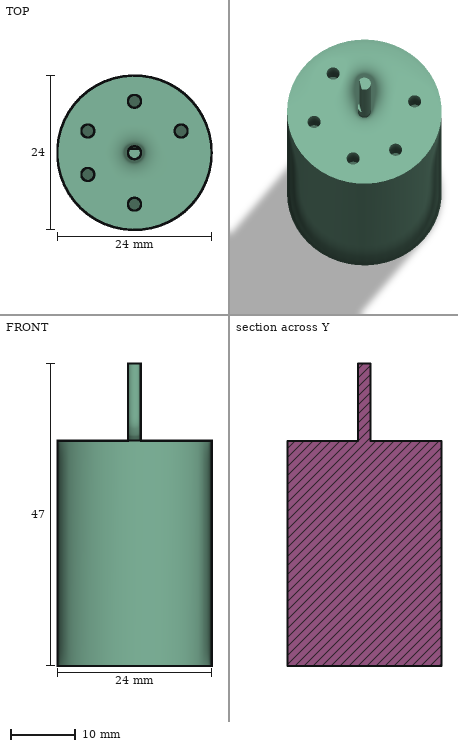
import cadquery as cq
import math

body_diameter = 24.0
total_height = 47.0
shaft_length = 12.0
body_height = total_height - shaft_length

shaft_diameter = 2.0
flat_depth = 0.4
round_length = 2.0

hole_diameter = 2.0
hole_depth = 4.0
pitch_radius = 8.0
side_hole_angle = 25.0
hole_angles = [
    90.0,
    side_hole_angle,
    180.0 - side_hole_angle,
    180.0 + side_hole_angle,
    270.0,
]


def make_body():
    """Cylinder with blind mounting holes in its top face."""
    hole_centres = [
        (
            pitch_radius * math.cos(math.radians(angle)),
            pitch_radius * math.sin(math.radians(angle)),
        )
        for angle in hole_angles
    ]
    return (
        cq.Workplane("XY")
        .circle(body_diameter / 2)
        .extrude(body_height)
        .faces(">Z")
        .workplane()
        .pushPoints(hole_centres)
        .hole(hole_diameter, hole_depth)
    )


def make_shaft():
    """Round shaft rising from the body, cut flat above its round foot."""
    shaft = (
        cq.Workplane("XY")
        .workplane(offset=body_height)
        .circle(shaft_diameter / 2)
        .extrude(shaft_length)
    )
    flat_y = shaft_diameter / 2 - flat_depth
    flat_cutter = (
        cq.Workplane("XY")
        .workplane(offset=body_height + round_length)
        .center(0, flat_y)
        .rect(shaft_diameter, shaft_diameter, centered=(True, False))
        .extrude(shaft_length - round_length)
    )
    return shaft.cut(flat_cutter)


result = make_body().union(make_shaft())